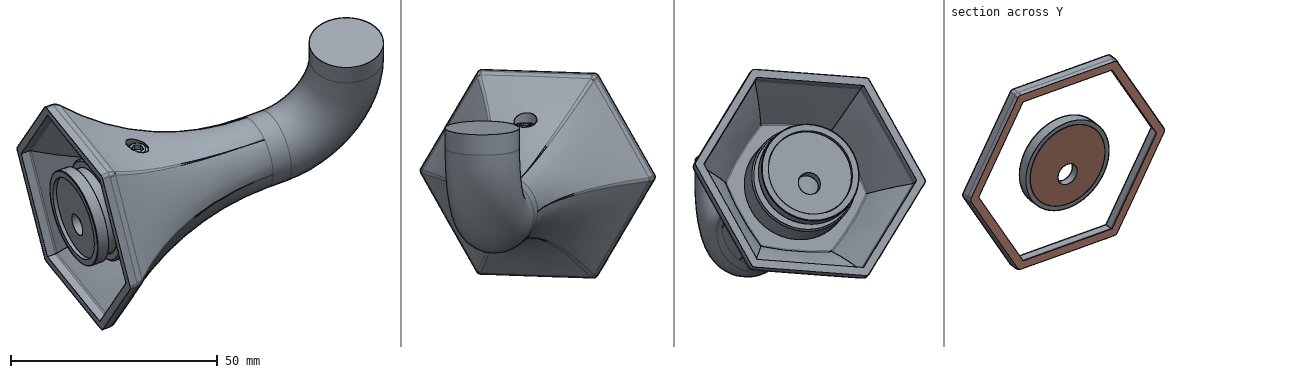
import cadquery as cq
import math

across_flats = 50.0
edge_radius = 1.0
base_thickness = 3.0
rim_fillet = 2.7
flare_end = 50.0
tube_radius = 9.0
neck_length = 5.0
bend_radius = 20.0
arm_end_height = 5.0

wall = 2.0
cavity_lip_depth = 2.4
floor_depth = 13.5
floor_fillet = 0.4

boss_radius = 13.0
boss_face = 6.0
boss_chamfer = 0.4

mount_radius = 12.2
mount_rim_length = 3.0
mount_shank_radius = 11.0
mount_length = 24.0
mount_edge_chamfer = 0.15
mount_recess_radius = 10.5
mount_recess_depth = 1.0
mount_hole_diameter = 5.5
mount_hole_offset = 2.5
mount_hole_depth = 2.0
mount_hole_end_radius = 5.0

screw_position = 17.5
screw_diameter = 5.5
screw_top = 15.2
screw_chamfer = 0.7
socket_across_flats = 2.6
socket_depth = 1.5

half_side_angle = math.radians(30)
apothem = across_flats / 2
corner_reach = (apothem - edge_radius) / math.cos(half_side_angle) + edge_radius
flare_length = flare_end - base_thickness
flare_sections = 9
cavity_sections = 6
smallest_corner_turn = math.radians(1.0)
straight_tolerance = 1e-4
selection_margin = 0.1


def rail(start, y):
    """Radius and slope of an arc that falls from `start` at the rim to the tube, ending along Y."""
    drop = start - tube_radius
    arc_radius = (flare_length**2 + drop**2) / (2 * drop)
    run = flare_end - y
    height = math.sqrt(arc_radius**2 - run**2)
    return tube_radius + arc_radius - height, run / height


def polar(radius, angle):
    return radius * math.cos(angle), radius * math.sin(angle)


def at_depth(y):
    """Sketch plane facing +Y with local x along X and local y along -Z."""
    return cq.Workplane(cq.Plane(origin=(0, y, 0), xDir=(1, 0, 0), normal=(0, 1, 0)))


def corner_split(side_reach, corner, rounding):
    """Radius and angle, off the corner's axis, of the point where the corner arc meets the side arc.

    The two arcs are tangent there. A rounding of 0 puts the point in the sharp corner itself.
    """
    centre = corner - rounding
    inner_side = side_reach - rounding
    bulge = centre**2 - inner_side**2
    flattening = 2 * inner_side - 2 * centre * math.cos(half_side_angle)
    turn = math.atan2(
        bulge * math.sin(half_side_angle),
        centre * flattening + bulge * math.cos(half_side_angle),
    )
    turn = max(turn, smallest_corner_turn)
    along = centre + rounding * math.cos(turn)
    across = rounding * math.sin(turn)
    return math.hypot(along, across), math.atan2(across, along)


def hexagonal_section(y, side_reach, corner, rounding):
    """Six sides `side_reach` away from the axis, meeting in corners `corner` away.

    The sides bulge as far as the two distances ask for, from straight lines to a full circle.
    """
    split_radius, split_angle = corner_split(side_reach, corner, rounding)
    side_bulge = side_reach - split_radius * math.cos(half_side_angle - split_angle)
    outline = at_depth(y).moveTo(*polar(split_radius, -split_angle))
    for side in range(6):
        angle = side * 2 * half_side_angle
        if rounding > 0:
            outline = outline.threePointArc(polar(corner, angle), polar(split_radius, angle + split_angle))
        side_end = polar(split_radius, angle + 2 * half_side_angle - split_angle)
        if side_bulge > straight_tolerance:
            outline = outline.threePointArc(polar(side_reach, angle + half_side_angle), side_end)
        else:
            outline = outline.lineTo(*side_end)
    return outline.close().wire().val()


def loft(wires):
    return cq.Workplane(cq.Solid.makeLoft(wires, False))


def edges_at_depth(y):
    """Selector for the edges that lie in the plane at depth `y`."""
    reach = across_flats
    return cq.selectors.BoxSelector(
        (-reach, y - selection_margin, -reach),
        (reach, y + selection_margin, reach),
    )


def prism_to_wall(wire, length):
    """Solid from a section at depth `length` straight out to the wall face."""
    return cq.Workplane(cq.Solid.extrudeLinear(wire, [], cq.Vector(0, -length, 0)))


def flare_body():
    """Hexagonal rim and the flare that shrinks along arcs into the round tube."""
    wires = []
    for i in range(flare_sections - 1):
        y = base_thickness + flare_length * i / (flare_sections - 1)
        wires.append(hexagonal_section(y, rail(apothem, y)[0], rail(corner_reach, y)[0], edge_radius))
    wires.append(hexagonal_section(flare_end, tube_radius, tube_radius, tube_radius))
    body = prism_to_wall(wires[0], base_thickness).union(loft(wires))
    return body.edges(edges_at_depth(base_thickness)).fillet(rim_fillet)


def inner_reach(start, y):
    """Outer rail at `y` moved inwards by the wall, measured square to the surface."""
    radius, slope = rail(start, y)
    return radius - wall * math.hypot(1, slope)


def cavity():
    """Hollow of the flare: a straight lip, then walls that follow the outside down to a flat floor."""
    lip_apothem = apothem - wall
    lip_corner = lip_apothem / math.cos(half_side_angle)
    sharp_corner = apothem / math.cos(half_side_angle)
    lip_wire = hexagonal_section(cavity_lip_depth, lip_apothem, lip_corner, 0)
    wires = [lip_wire]
    for i in range(1, cavity_sections):
        y = cavity_lip_depth + (floor_depth - cavity_lip_depth) * i / (cavity_sections - 1)
        wires.append(hexagonal_section(y, inner_reach(apothem, y), inner_reach(sharp_corner, y), 0))
    hollow = prism_to_wall(lip_wire, cavity_lip_depth).union(loft(wires))
    hollow = hollow.faces(">Y").edges().fillet(floor_fillet)
    return hollow.edges(edges_at_depth(cavity_lip_depth)).fillet(rim_fillet - wall)


def arm():
    """Round neck, quarter bend up to +Z and the short straight end."""
    bend_start = flare_end + neck_length
    path = (
        cq.Workplane("YZ")
        .moveTo(flare_end, 0)
        .lineTo(bend_start, 0)
        .radiusArc((bend_start + bend_radius, bend_radius), -bend_radius)
        .lineTo(bend_start + bend_radius, bend_radius + arm_end_height)
    )
    return at_depth(flare_end).circle(tube_radius).sweep(path)


def boss():
    """Round boss on the cavity floor that carries the wall mount."""
    ring = at_depth(boss_face).circle(boss_radius).extrude(floor_depth - boss_face)
    return ring.faces("<Y").edges().chamfer(boss_chamfer)


def mount_shank():
    """Part of the mount behind its rim, plugged into the bore of the boss."""
    return at_depth(mount_rim_length).circle(mount_shank_radius).extrude(mount_length - mount_rim_length)


def screw_cylinder(top):
    """Upright cylinder at the set screw, from the top of the mount to height `top`."""
    plane = cq.Workplane("XY", origin=(0, screw_position, 0))
    return plane.circle(screw_diameter / 2).extrude(top).cut(mount_shank())


def build_hook():
    """Flare, boss and arm in one piece, bored for the mount and the set screw."""
    hook = flare_body().cut(cavity()).union(boss()).union(arm())
    return hook.cut(mount_shank()).cut(screw_cylinder(apothem))


def build_mount():
    """Wall mount: rimmed plug with a shallow round recess and an off-centre blind hole."""
    rim = at_depth(0).circle(mount_radius).extrude(mount_rim_length)
    mount = rim.faces("<Y").edges().chamfer(mount_edge_chamfer).union(mount_shank())
    mount = mount.cut(at_depth(0).circle(mount_recess_radius).extrude(mount_recess_depth))
    hole_end = mount_recess_depth + mount_hole_depth
    hole_radius = mount_hole_diameter / 2
    end_centre = hole_end - math.sqrt(mount_hole_end_radius**2 - hole_radius**2)
    hole = at_depth(0).center(0, mount_hole_offset).circle(hole_radius).extrude(mount_length)
    end = cq.Workplane("XY", origin=(0, end_centre, 0)).circle(mount_hole_end_radius)
    hole = hole.intersect(end.extrude(mount_radius, both=True))
    return mount.cut(hole)


def build_set_screw():
    """Hexagon socket set screw that bears on the shank of the mount."""
    screw = screw_cylinder(screw_top).faces(">Z").edges().chamfer(screw_chamfer)
    corner_diameter = socket_across_flats / math.cos(half_side_angle)
    socket = cq.Workplane("XY", origin=(0, screw_position, screw_top - socket_depth))
    return screw.cut(socket.polygon(6, corner_diameter).extrude(socket_depth))


hook = build_hook()
mount = build_mount()
set_screw = build_set_screw()
result = cq.Compound.makeCompound([hook.val(), mount.val(), set_screw.val()])